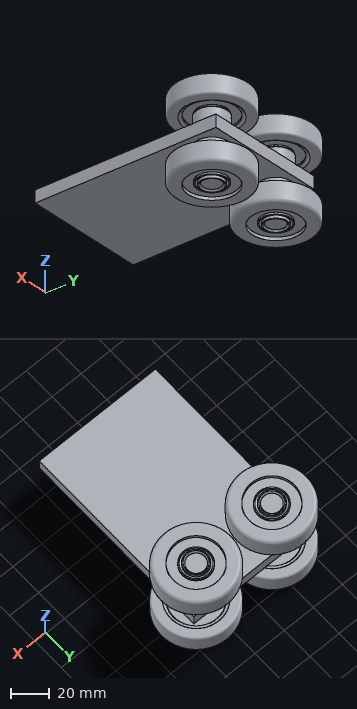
import cadquery as cq
import math

plate_width = 80.0
plate_length = 120.0
plate_thickness = 8.0

overall_length = 130.0
overall_height = 54.0

wheel_diameter = 48.0
wheel_width = 13.0
wheel_spacing = 52.0
outer_fillet = 2.2
inner_fillet = 1.3

recess_diameter = 31.0
recess_depth = 2.1
rim_diameter = 35.0
ledge_radius = 1.0

axle_diameter = 20.0
axle_rise = 0.3
collar_diameter = 19.0
collar_rise = 1.2
groove_diameter = 17.5
groove_depth = 0.6
pin_diameter = 15.0
dish_rim_diameter = 13.5
dish_floor_diameter = 11.7
dish_depth = 1.0

axle_end = overall_height / 2
wheel_outer_face = axle_end - axle_rise
wheel_inner_face = wheel_outer_face - wheel_width
outer_recess_floor = wheel_outer_face - recess_depth
inner_recess_floor = wheel_inner_face + recess_depth
collar_top = outer_recess_floor + collar_rise
collar_bottom = inner_recess_floor - collar_rise

axle_y = overall_length - plate_length / 2 - wheel_diameter / 2


def disc(diameter, bottom, top):
    """Solid cylinder on the Z axis between two heights."""
    return cq.Workplane("XY").workplane(offset=bottom).circle(diameter / 2).extrude(top - bottom)


def revolve_about_z(profile):
    """Close an (r, z) outline and turn it about the Z axis."""
    return profile.close().revolve(360, (0, 0), (0, 1))


def inner_ledge():
    """Cutter for the ledge around the inner recess, with a hollow quarter round below its rim."""
    rim_radius = rim_diameter / 2
    arc_centre_r = rim_radius - ledge_radius
    arc_middle_offset = ledge_radius * math.sqrt(0.5)
    arc_middle = (arc_centre_r + arc_middle_offset, wheel_inner_face + arc_middle_offset)
    ledge_height = wheel_inner_face + ledge_radius
    profile = (
        cq.Workplane("XZ")
        .moveTo(0, wheel_inner_face)
        .lineTo(rim_radius, wheel_inner_face)
        .threePointArc(arc_middle, (arc_centre_r, ledge_height))
        .lineTo(0, ledge_height)
    )
    return revolve_about_z(profile)


def wheel():
    """Upper wheel with rounded rims and a recess in each face."""
    body = disc(wheel_diameter, wheel_inner_face, wheel_outer_face)
    body = body.faces(">Z").edges().fillet(outer_fillet)
    body = body.faces("<Z").edges().fillet(inner_fillet)
    body = body.cut(disc(recess_diameter, outer_recess_floor, wheel_outer_face))
    body = body.cut(disc(recess_diameter, wheel_inner_face, inner_recess_floor))
    return body.cut(inner_ledge())


def half_axle():
    """Upper half of an axle: shaft, collar, hollow groove, pin and dished tip."""
    groove_width = (groove_diameter - pin_diameter) / 2
    groove_radius = (groove_width**2 + groove_depth**2) / (2 * groove_depth)
    profile = (
        cq.Workplane("XZ")
        .moveTo(0, 0)
        .lineTo(axle_diameter / 2, 0)
        .lineTo(axle_diameter / 2, collar_bottom)
        .lineTo(collar_diameter / 2, collar_bottom)
        .lineTo(collar_diameter / 2, collar_top)
        .lineTo(groove_diameter / 2, collar_top)
        .radiusArc((pin_diameter / 2, collar_top - groove_depth), groove_radius)
        .lineTo(pin_diameter / 2, axle_end)
        .lineTo(dish_rim_diameter / 2, axle_end)
        .lineTo(dish_floor_diameter / 2, axle_end - dish_depth)
        .lineTo(0, axle_end - dish_depth)
    )
    return revolve_about_z(profile)


upper_half = wheel().union(half_axle())
wheel_pair = upper_half.union(upper_half.mirror("XY"))

result = cq.Workplane("XY").box(plate_width, plate_length, plate_thickness)
for side in (-1, 1):
    result = result.union(wheel_pair.translate((side * wheel_spacing / 2, axle_y, 0)))